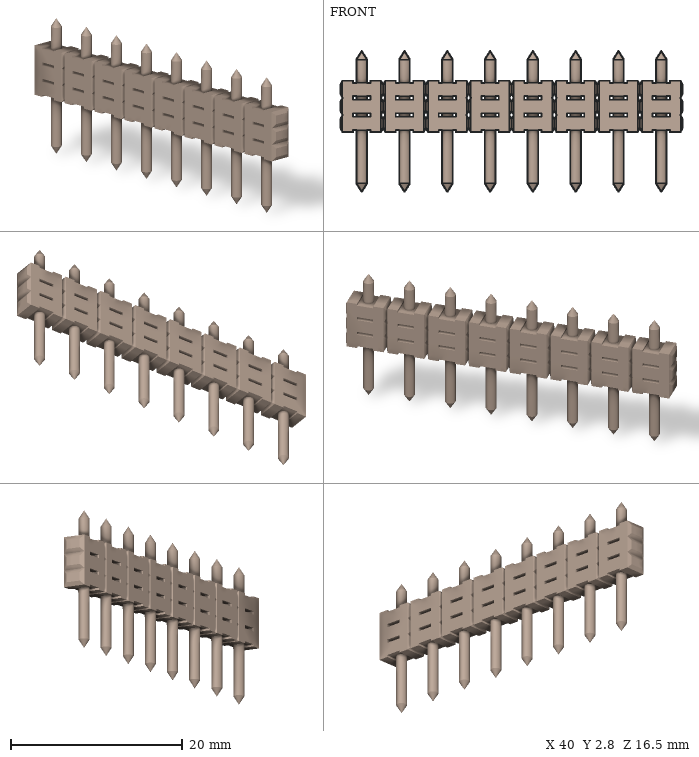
import cadquery as cq

position_count = 8
pitch = 5.0

body_depth = 2.8
body_height = 6.0
pad_height = 0.25
pad_inset = 0.5
pads_per_side = 3
core_width = pitch - 2 * pad_height
pad_spacing = body_height / pads_per_side

recess_width = 2.0
recess_depth = 0.25
slot_width = 2.0
slot_height = 0.4

pin_diameter = 1.3
pin_tip_length = 1.0
pin_above_body = 3.5
pin_below_body = 7.0

pin_radius = pin_diameter / 2
body_top = body_height / 2
body_bottom = -body_top
pin_top = body_top + pin_above_body
pin_bottom = body_bottom - pin_below_body


def make_side_pad(side, z):
    """Flat-topped pyramid on the -X (side = -1) or +X (side = +1) face of the core."""
    face = cq.Workplane("YZ", origin=(side * core_width / 2, 0, z))
    return (
        face.rect(body_depth, pad_spacing)
        .workplane(offset=side * pad_height)
        .rect(body_depth - 2 * pad_inset, pad_spacing - 2 * pad_inset)
        .loft(ruled=True)
    )


def make_body():
    """Core block with side pads, pin channels and windows between the pads."""
    body = cq.Workplane("XY").box(core_width, body_depth, body_height)
    for index in range(pads_per_side):
        pad_z = body_bottom + (index + 0.5) * pad_spacing
        for side in (-1, 1):
            body = body.union(make_side_pad(side, pad_z))

    channel = cq.Workplane("XY").box(recess_width, body_depth, 2 * recess_depth)
    for channel_z in (body_bottom, body_top):
        body = body.cut(channel.translate((0, 0, channel_z)))

    window = cq.Workplane("XY").box(slot_width, body_depth, slot_height)
    for index in range(1, pads_per_side):
        body = body.cut(window.translate((0, 0, body_bottom + index * pad_spacing)))
    return body


def make_pin():
    """Round pin with a conical point at both ends, revolved about Z."""
    half_profile = [
        (0, pin_bottom),
        (pin_radius, pin_bottom + pin_tip_length),
        (pin_radius, pin_top - pin_tip_length),
        (0, pin_top),
    ]
    return cq.Workplane("XZ").polyline(half_profile).close().revolve(360, (0, 0), (0, 1))


position = make_body().union(make_pin())
result = position
for index in range(1, position_count):
    result = result.union(position.translate((index * pitch, 0, 0)))
result = result.translate((-(position_count - 1) * pitch / 2, 0, 0))